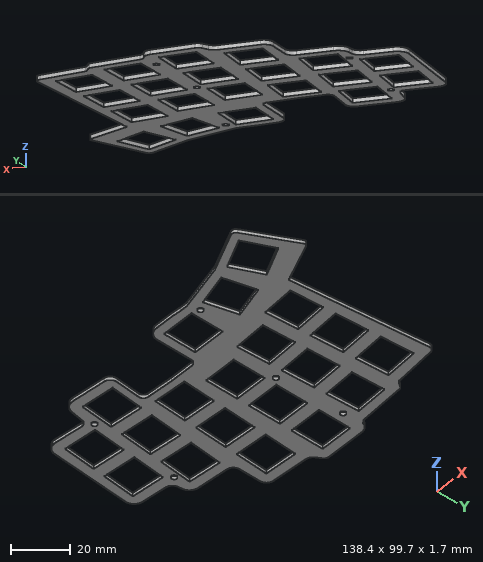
import cadquery as cq
import math

plate_thickness = 1.7
switch_cutout = 14.0
key_pitch = 19.2
screw_hole_diameter = 2.2

finger_columns = [
    (-56.2, -12.2, 5, 2),
    (-36.3, -21.9, 5, 3),
    (-17.6, -5.5, 3, 3),
    (2.1, 0.0, 0, 3),
    (22.1, -3.9, -3, 3),
    (41.7, -8.5, -4, 3),
]

thumb_keys = [
    (10.4, -26.3, 0),
    (32.7, -29.2, -15),
    (52.3, -36.5, -25),
]

screw_holes = [
    (-49.0, 17.5),
    (-46.5, -20.6),
    (11.6, 9.8),
    (13.2, 38.8),
    (20.6, -32.1),
]

outline_corners = [
    (-7.9, 49.8, 2.6),
    (13.0, 49.8, 3.9),
    (14.1, 46.2, 2.6),
    (35.6, 44.9, 0.4),
    (37.7, 42.1, 1.2),
    (58.0, 40.1, 2.0),
    (51.9, -20.0, 0),
    (69.6, -27.3, 1.07),
    (57.6, -50.4, 1.8),
    (39.3, -42.1, 0),
    (19.1, -37.0, 0),
    (15.8, -37.0, 0),
    (11.6, -37.2, 0),
    (-0.4, -37.2, 4.2),
    (-0.4, -15.6, 2.1),
    (-13.0, -15.6, 0),
    (-26.5, -16.3, 2.2),
    (-25.2, -32.3, 3.0),
    (-46.4, -34.2, 4.0),
    (-48.3, -22.8, 2.4),
    (-66.6, -24.8, 4.0),
    (-69.5, 17.3, 4.3),
    (-52.0, 19.0, 3.3),
    (-51.2, 26.9, 4.4),
    (-31.3, 28.4, 3.0),
    (-31.3, 43.6, 3.5),
    (-10.8, 44.9, 3.3),
]


def corner_arc(before, corner, after, radius):
    """Start, middle and end of the arc that rounds a corner tangent to both its sides."""
    to_before = (before - corner).normalized()
    to_after = (after - corner).normalized()
    half_angle = to_before.getAngle(to_after) / 2
    setback = radius / math.tan(half_angle)
    middle_distance = radius / math.sin(half_angle) - radius
    bisector = (to_before + to_after).normalized()
    return (
        corner + to_before * setback,
        corner + bisector * middle_distance,
        corner + to_after * setback,
    )


def rounded_outline(corners):
    """Closed wire through the corners, each rounded by its own radius."""
    points = [cq.Vector(x, y) for x, y, _ in corners]
    start = (points[-1] + points[0]) / 2
    outline = cq.Workplane("XY").moveTo(start.x, start.y)
    for i, (_, _, radius) in enumerate(corners):
        if radius == 0:
            outline = outline.lineTo(points[i].x, points[i].y)
            continue
        after = points[(i + 1) % len(points)]
        arc_start, arc_middle, arc_end = corner_arc(points[i - 1], points[i], after, radius)
        outline = outline.lineTo(arc_start.x, arc_start.y)
        outline = outline.threePointArc(arc_middle.toTuple()[:2], arc_end.toTuple()[:2])
    return outline.close()


def column_keys(x, y, tilt, count):
    """Centres and tilt of the keys stacked upward from a column's bottom key."""
    step_x = -key_pitch * math.sin(math.radians(tilt))
    step_y = key_pitch * math.cos(math.radians(tilt))
    return [(x + row * step_x, y + row * step_y, tilt) for row in range(count)]


def switch_opening(x, y, tilt):
    """Square through-cutter for one switch."""
    return (
        cq.Workplane("XY")
        .rect(switch_cutout, switch_cutout)
        .extrude(plate_thickness)
        .rotate((0, 0, 0), (0, 0, 1), tilt)
        .translate((x, y, 0))
    )


plate = rounded_outline(outline_corners).extrude(plate_thickness)

keys = list(thumb_keys)
for column in finger_columns:
    keys += column_keys(*column)
for key in keys:
    plate = plate.cut(switch_opening(*key))

screw_cutters = (
    cq.Workplane("XY")
    .pushPoints(screw_holes)
    .circle(screw_hole_diameter / 2)
    .extrude(plate_thickness)
)
result = plate.cut(screw_cutters)